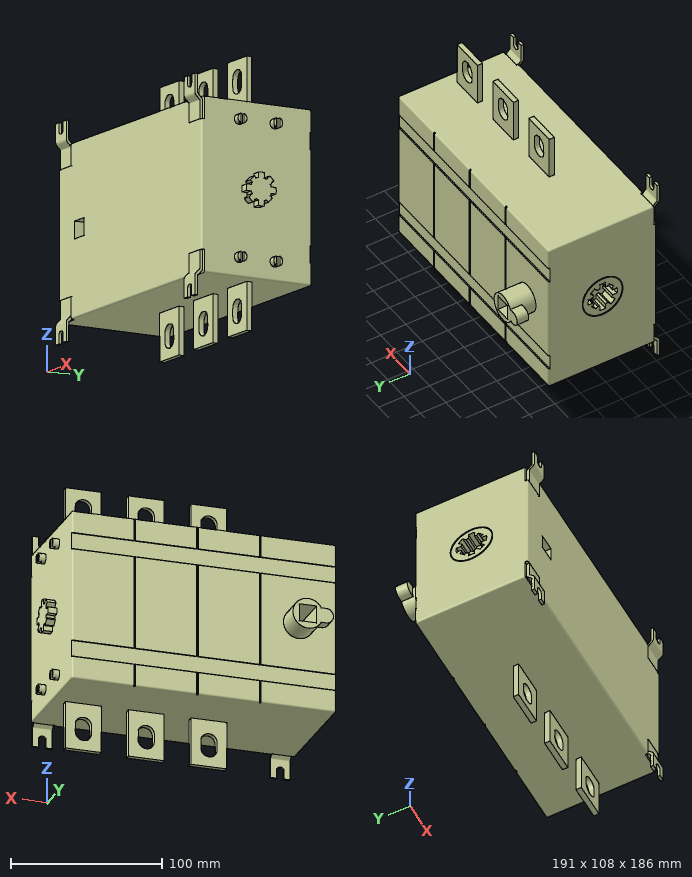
import cadquery as cq
import math

OVERALL_LENGTH = 191.0
OVERALL_DEPTH = 108.0

HOUSING_LENGTH = 184.9
HOUSING_DEPTH = 84.8
HOUSING_HEIGHT = 119.8
EDGE_RADIUS = 1.3

LEFT_FACE = -HOUSING_LENGTH / 2
RIGHT_FACE = HOUSING_LENGTH / 2
FRONT_FACE = -HOUSING_DEPTH / 2
BACK_FACE = HOUSING_DEPTH / 2

POLE_COUNT = 3
POLE_PITCH = 44.0
MIDDLE_POLE_X = 26.5
BAR_WIDTH = 25.0
BAR_THICKNESS = 4.0
BAR_LENGTH = 186.0
BAR_SLOT_WIDTH = 11.3
BAR_SLOT_LENGTH = 16.5
BAR_SLOT_Z = 77.7

BACK_GROOVE_DEPTH = 1.0
WIDE_GROOVE_WIDTH = 11.5
WIDE_GROOVE_Z = 38.4
PHASE_GROOVE_WIDTH = 1.0

KNOB_X = LEFT_FACE + 26.4
KNOB_DIAMETER = 21.2
KNOB_LENGTH = 19.3
POINTER_WIDTH = 10.3
POINTER_REACH = 17.8
POINTER_THICKNESS = 9.0
DRIVE_HOLE_SIZE = 12.0

SPLINE_TEETH = 8
SPLINE_OUTER_RADIUS = 11.5
SPLINE_ROOT_RADIUS = 8.0
SPLINE_KEY_RADIUS = 9.7
SPLINE_KEY_PAIR = 3
SPLINE_TOOTH_WIDTH = 4.4
SPLINE_LENGTH = OVERALL_LENGTH - HOUSING_LENGTH
SOCKET_DEPTH = 11.5
SOCKET_RING_RADIUS = 15.9
SOCKET_RING_WIDTH = 0.4
SOCKET_RING_DEPTH = 0.4

SCREW_DIAMETER = 6.9
SCREW_HEIGHT = 4.8
SCREW_Y = 13.8
SCREW_Z = 46.8
SCREW_SLOT_WIDTH = 2.7
SCREW_SLOT_DEPTH = 2.3

FOOT_X = 83.3
FOOT_WIDTH = 14.0
FOOT_THICKNESS = 2.1
FOOT_BEND_RADIUS = 1.0
FOOT_OFFSET = OVERALL_DEPTH - HOUSING_DEPTH - KNOB_LENGTH
FOOT_INNER_Z = 44.3
FOOT_BEND_Z = 56.7
FOOT_TIP_Z = 75.0
FOOT_BEND_ANGLE = math.radians(45)
FOOT_SLOT_WIDTH = 5.2
FOOT_SLOT_DEPTH = 8.2


def pole_x(index):
    """X position of a pole's centre line."""
    return MIDDLE_POLE_X + (index - (POLE_COUNT - 1) / 2) * POLE_PITCH


def spline_prism(start_x, length):
    """Splined prism along +X from start_x: a round core with round-tipped teeth, one pair of them shorter."""
    plane = cq.Workplane("YZ", origin=(start_x, 0, 0))
    prism = plane.circle(SPLINE_ROOT_RADIUS).extrude(length)
    for index in range(SPLINE_TEETH // 2):
        reach = SPLINE_KEY_RADIUS if index == SPLINE_KEY_PAIR else SPLINE_OUTER_RADIUS
        tooth_pair = (
            plane.transformed(rotate=(0, 0, index * 360 / SPLINE_TEETH))
            .rect(2 * reach, SPLINE_TOOTH_WIDTH)
            .extrude(length)
        )
        prism = prism.union(tooth_pair)
    return prism.intersect(plane.circle(SPLINE_OUTER_RADIUS).extrude(length))


def socket_ring():
    """Fine circular groove around the splined socket."""
    return (
        cq.Workplane("YZ", origin=(LEFT_FACE, 0, 0))
        .circle(SOCKET_RING_RADIUS)
        .circle(SOCKET_RING_RADIUS - SOCKET_RING_WIDTH)
        .extrude(SOCKET_RING_DEPTH)
    )


def terminal_bars():
    """Flat bars with a connection slot at each end, one per pole."""
    pole_places = [(pole_x(index), 0) for index in range(POLE_COUNT)]
    slot_places = [(x, z) for x, _ in pole_places for z in (-BAR_SLOT_Z, BAR_SLOT_Z)]
    bars = cq.Workplane("XY").pushPoints(pole_places).box(BAR_WIDTH, BAR_THICKNESS, BAR_LENGTH)
    slots = (
        cq.Workplane("XZ")
        .pushPoints(slot_places)
        .slot2D(BAR_SLOT_LENGTH, BAR_SLOT_WIDTH, 90)
        .extrude(BAR_THICKNESS, both=True)
    )
    return bars.cut(slots)


def back_grooves():
    """Two wide grooves along X, and a fine one along Z on the left of each pole."""
    wide = (
        cq.Workplane("XZ", origin=(0, BACK_FACE, 0))
        .pushPoints([(0, -WIDE_GROOVE_Z), (0, WIDE_GROOVE_Z)])
        .rect(HOUSING_LENGTH, WIDE_GROOVE_WIDTH)
        .extrude(BACK_GROOVE_DEPTH)
    )
    phase_places = [(pole_x(index) - POLE_PITCH / 2, 0) for index in range(POLE_COUNT)]
    fine = (
        cq.Workplane("XZ", origin=(0, BACK_FACE, 0))
        .pushPoints(phase_places)
        .rect(PHASE_GROOVE_WIDTH, HOUSING_HEIGHT)
        .extrude(BACK_GROOVE_DEPTH)
    )
    return wide.union(fine)


def knob():
    """Round knob on the back face, with a round-ended pointer at its far end."""
    tip = BACK_FACE + KNOB_LENGTH
    round_x = KNOB_X - POINTER_REACH + POINTER_WIDTH / 2
    half_width = POINTER_WIDTH / 2
    barrel = (
        cq.Workplane("XZ", origin=(KNOB_X, tip, 0))
        .circle(KNOB_DIAMETER / 2)
        .extrude(KNOB_LENGTH)
    )
    pointer = (
        cq.Workplane("XZ", origin=(0, tip, 0))
        .moveTo(KNOB_X, half_width)
        .lineTo(round_x, half_width)
        .threePointArc((KNOB_X - POINTER_REACH, 0), (round_x, -half_width))
        .lineTo(KNOB_X, -half_width)
        .close()
        .extrude(POINTER_THICKNESS)
    )
    return barrel.union(pointer)


def drive_hole():
    """Square hole through the housing and the knob."""
    return (
        cq.Workplane("XZ", origin=(KNOB_X, BACK_FACE + KNOB_LENGTH, 0))
        .rect(DRIVE_HOLE_SIZE, DRIVE_HOLE_SIZE)
        .extrude(HOUSING_DEPTH + KNOB_LENGTH)
    )


def screw_heads():
    """Four screw heads on the right face, each with a screwdriver slot along Z."""
    places = [(y, z) for y in (-SCREW_Y, SCREW_Y) for z in (-SCREW_Z, SCREW_Z)]
    heads = (
        cq.Workplane("YZ", origin=(RIGHT_FACE, 0, 0))
        .pushPoints(places)
        .circle(SCREW_DIAMETER / 2)
        .extrude(SCREW_HEIGHT)
    )
    slots = (
        cq.Workplane("YZ", origin=(RIGHT_FACE + SCREW_HEIGHT - SCREW_SLOT_DEPTH, 0, 0))
        .pushPoints(places)
        .rect(SCREW_SLOT_WIDTH, SCREW_DIAMETER)
        .extrude(SCREW_SLOT_DEPTH)
    )
    return heads.cut(slots)


def foot_recesses():
    """Seats for the feet, open to the front, to the ends and to the top and bottom."""
    foot_inner_x = FOOT_X - FOOT_WIDTH / 2
    size_x = RIGHT_FACE - foot_inner_x
    size_z = HOUSING_HEIGHT / 2 - FOOT_INNER_Z
    centre_x = foot_inner_x + size_x / 2
    centre_z = FOOT_INNER_Z + size_z / 2
    places = [(side * centre_x, end * centre_z) for side in (-1, 1) for end in (-1, 1)]
    return (
        cq.Workplane("XZ", origin=(0, FRONT_FACE + FOOT_THICKNESS, 0))
        .pushPoints(places)
        .rect(size_x, size_z)
        .extrude(FOOT_THICKNESS)
    )


def make_housing():
    """Housing block with its terminals, knob, spline stub and screw heads as one solid."""
    block = cq.Workplane("XY").box(HOUSING_LENGTH, HOUSING_DEPTH, HOUSING_HEIGHT)
    block = block.edges().fillet(EDGE_RADIUS)
    return (
        block.cut(back_grooves())
        .cut(foot_recesses())
        .cut(spline_prism(LEFT_FACE, SOCKET_DEPTH))
        .cut(socket_ring())
        .union(terminal_bars())
        .union(knob())
        .union(spline_prism(RIGHT_FACE, SPLINE_LENGTH))
        .union(screw_heads())
        .cut(drive_hole())
    )


def arc_point(centre, radius, angle):
    """Point at a radius from a bend centre, at an angle from the Y axis towards Z."""
    return (centre[0] + radius * math.cos(angle), centre[1] + radius * math.sin(angle))


def make_foot(side, end):
    """Strap seated flush in the front face, bent forward beyond the housing, with an open slot."""
    tip_front = FRONT_FACE - FOOT_OFFSET
    tip_back = tip_front + FOOT_THICKNESS
    inside = FOOT_BEND_RADIUS
    outside = FOOT_BEND_RADIUS + FOOT_THICKNESS
    seat_bend_y = FRONT_FACE - inside
    tip_bend_y = tip_back + inside
    bend_rise = (
        inside + outside + (seat_bend_y - tip_bend_y) * math.cos(FOOT_BEND_ANGLE)
    ) / math.sin(FOOT_BEND_ANGLE)
    seat_bend = (seat_bend_y, FOOT_BEND_Z)
    tip_bend = (tip_bend_y, FOOT_BEND_Z + bend_rise)
    turn = FOOT_BEND_ANGLE
    strap = (
        cq.Workplane("YZ", origin=(side * FOOT_X, 0, 0))
        .moveTo(FRONT_FACE, FOOT_INNER_Z)
        .lineTo(FRONT_FACE, FOOT_BEND_Z)
        .threePointArc(arc_point(seat_bend, inside, turn / 2), arc_point(seat_bend, inside, turn))
        .lineTo(*arc_point(tip_bend, outside, math.pi + turn))
        .threePointArc(
            arc_point(tip_bend, outside, math.pi + turn / 2), arc_point(tip_bend, outside, math.pi)
        )
        .lineTo(tip_front, FOOT_TIP_Z)
        .lineTo(tip_back, FOOT_TIP_Z)
        .lineTo(*arc_point(tip_bend, inside, math.pi))
        .threePointArc(
            arc_point(tip_bend, inside, math.pi + turn / 2), arc_point(tip_bend, inside, math.pi + turn)
        )
        .lineTo(*arc_point(seat_bend, outside, turn))
        .threePointArc(arc_point(seat_bend, outside, turn / 2), arc_point(seat_bend, outside, 0))
        .lineTo(FRONT_FACE + FOOT_THICKNESS, FOOT_INNER_Z)
        .close()
        .extrude(FOOT_WIDTH / 2, both=True)
    )
    slot = (
        cq.Workplane("XZ", origin=(side * FOOT_X, tip_back, FOOT_TIP_Z))
        .slot2D(2 * FOOT_SLOT_DEPTH, FOOT_SLOT_WIDTH, 90)
        .extrude(FOOT_THICKNESS)
    )
    foot = strap.cut(slot)
    if end < 0:
        foot = foot.mirror("XY")
    return foot


housing = make_housing()
feet = [make_foot(side, end) for side in (-1, 1) for end in (-1, 1)]

result = cq.Compound.makeCompound([housing.val(), *[foot.val() for foot in feet]])